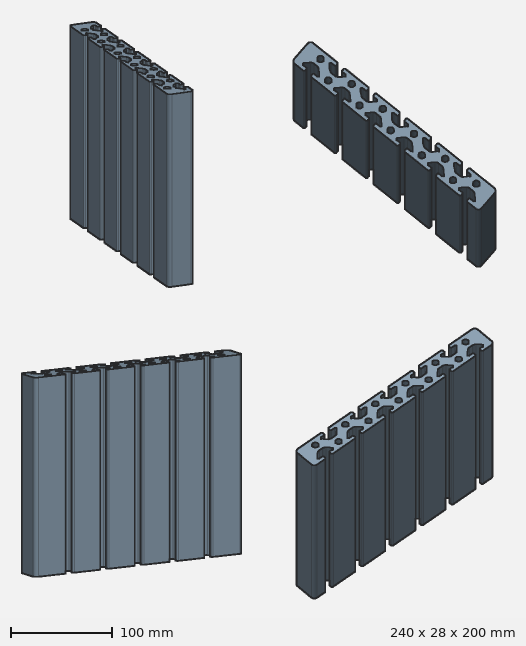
import cadquery as cq

WIDTH = 240
DEPTH = 28.0
HEIGHT = 200.0
CORNER_RADIUS = 3.8

BACK_SLOT_COUNT = 6
FRONT_SLOT_COUNT = BACK_SLOT_COUNT - 1
PITCH = WIDTH / BACK_SLOT_COUNT
BACK = 1
FRONT = -1

MOUTH_WIDTH = 8.0
LIP_THICKNESS = 4.3
CHAMBER_WIDTH = 20.5
CHAMBER_WALL = 2.0
FLOOR_WIDTH = 8.2
SLOT_DEPTH = 12.2
OUTER_LIP_RADIUS = 1.5
INNER_LIP_RADIUS = 0.7
CHAMBER_RADIUS = 1.2
FLOOR_RADIUS = 4.8

PICK = 0.2

BORE_DIAMETER = 6.7
BORE_OFFSET = 6.0


def row_positions(count):
    """X positions of equally pitched features centred on the part."""
    return [(i - (count - 1) / 2) * PITCH for i in range(count)]


def slot_edges(x, side, width, depth):
    """Selector for the two vertical slot edges that lie width apart, at a depth below the face."""
    y = side * (DEPTH / 2 - depth)
    left, right = [
        cq.selectors.BoxSelector((u - PICK, y - PICK, 0), (u + PICK, y + PICK, HEIGHT))
        for u in (x - width / 2, x + width / 2)
    ]
    return left + right


def slot_cutter(x, side):
    """Full-height T-slot at x, open towards the back or front face."""
    half_profile = [
        (MOUTH_WIDTH / 2, 0),
        (MOUTH_WIDTH / 2, LIP_THICKNESS),
        (CHAMBER_WIDTH / 2, LIP_THICKNESS),
        (CHAMBER_WIDTH / 2, LIP_THICKNESS + CHAMBER_WALL),
        (FLOOR_WIDTH / 2, SLOT_DEPTH),
    ]
    mirrored = [(-u, depth) for u, depth in reversed(half_profile)]
    points = [(x + u, side * (DEPTH / 2 - depth)) for u, depth in half_profile + mirrored]
    cutter = cq.Workplane("XY").polyline(points).close().extrude(HEIGHT)
    roundings = (
        (FLOOR_WIDTH, SLOT_DEPTH, FLOOR_RADIUS),
        (CHAMBER_WIDTH, LIP_THICKNESS, CHAMBER_RADIUS),
        (MOUTH_WIDTH, LIP_THICKNESS, INNER_LIP_RADIUS),
    )
    for width, depth, radius in roundings:
        cutter = cutter.edges(slot_edges(x, side, width, depth)).fillet(radius)
    return cutter


body = cq.Workplane("XY").box(WIDTH, DEPTH, HEIGHT, centered=(True, True, False))
body = body.edges("|Z").fillet(CORNER_RADIUS)

for side, count in ((BACK, BACK_SLOT_COUNT), (FRONT, FRONT_SLOT_COUNT)):
    for x in row_positions(count):
        body = body.cut(slot_cutter(x, side))
        body = body.edges(slot_edges(x, side, MOUTH_WIDTH, 0)).fillet(OUTER_LIP_RADIUS)

bore_centres = [(x, FRONT * BORE_OFFSET) for x in row_positions(BACK_SLOT_COUNT)]
bore_centres += [(x, BACK * BORE_OFFSET) for x in row_positions(FRONT_SLOT_COUNT)]
bores = cq.Workplane("XY").pushPoints(bore_centres).circle(BORE_DIAMETER / 2).extrude(HEIGHT)

result = body.cut(bores)